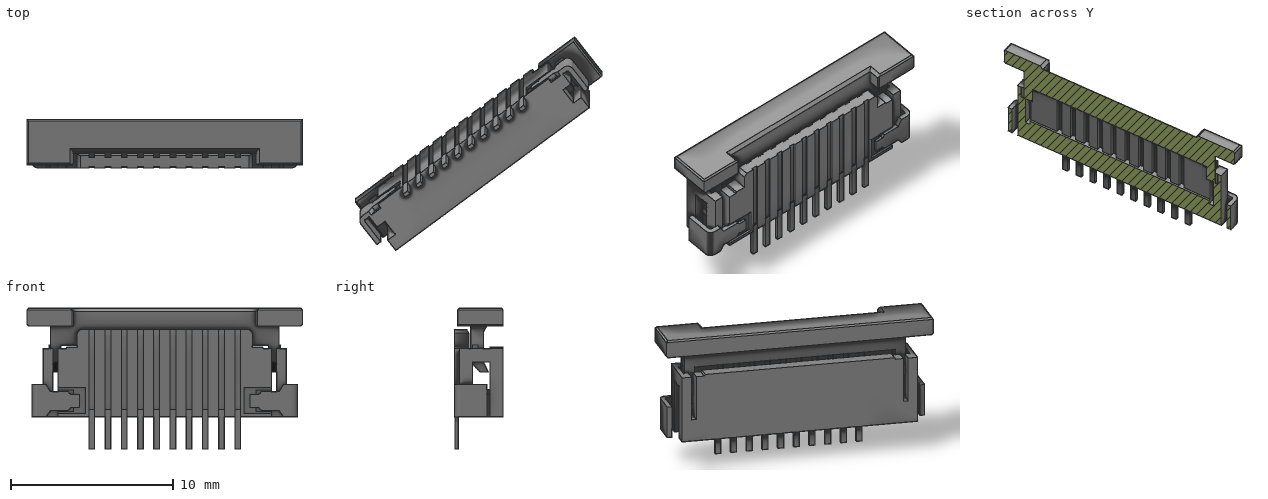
import cadquery as cq


HOUSING_DEPTH = 3.0
BODY_HALF_LENGTH = 6.6
BODY_SHOULDER_Z = 4.2
BODY_TOP_Z = 4.3
RAISED_HALF_LENGTH = 6.1
RAISED_RAMP = 0.07
CAVITY_FRONT_Y = 0.9
CAVITY_BACK_Y = 2.18
CAVITY_FLOOR_Z = 1.68

TONGUE_HALF_LENGTH = 5.4
TONGUE_TOP_Z = 5.38
TONGUE_CORNER = 0.2
TONGUE_BEVEL_DEPTH = 0.14
TONGUE_BEVEL_HEIGHT = 0.25

ARM_INNER_X = 6.9
ARM_OUTER_X = 7.5
ARM_FRONT_Y = 0.3
WINDOW_FRONT_Y = 1.12
WINDOW_TOP_Z = 3.37
BRIDGE_TOP_Z = 1.4
LEG_GROOVE_OUTER_X = 7.22

PIN_COUNT = 10
PIN_PITCH = 1.0
PIN_WIDTH = 0.36
PIN_FRONT_Y = 0.02
PIN_BACK_Y = 0.25
PIN_BOTTOM_Z = -2.0
PIN_TOP_Z = 0.45
FRONT_GROOVE_DEPTH = 0.1
REAR_GROOVE_DEPTH = 0.24

CLIP_OUTER_X = 8.2
CLIP_THICKNESS = ARM_FRONT_Y
CLIP_BEND_RADIUS = 0.4
CLIP_HEIGHT = 2.0
CLIP_DEPTH = 2.0
STRAP_MID_Z = 0.97
STRAP_HALF_HEIGHT = 0.58
STRAP_TIP_HALF_HEIGHT = 0.41
STRAP_TIP_X = 5.27
STRAP_TIP_SHOULDER_X = 5.8
STRAP_SHOULDER_X = 5.96
STRAP_NECK_X = 7.05
STRAP_ROOT_X = 7.33

POCKET_INNER_X = 4.88
POCKET_BOTTOM_Z = 0.2
POCKET_TOP_Z = 1.8
POCKET_DEPTH = 0.15
CHANNEL_INNER_X = 5.63
CHANNEL_BOTTOM_Z = 0.32
CHANNEL_TOP_Z = 1.64
CHANNEL_DEPTH = 0.2

SLIDER_HALF_LENGTH = 8.5
SLIDER_FRONT_Y = 0.2
SLIDER_BOTTOM_Z = 5.6
SLIDER_TOP_Z = 6.7
SLIDER_BEVEL = 0.1
NOTCH_HALF_LENGTH = 5.63
NOTCH_BEVEL = 0.2
BLADE_FRONT_Y = 1.0
BLADE_BACK_Y = 1.8
BLADE_HALF_LENGTH = 7.05
BLADE_BOTTOM_Z = 4.4
GUSSET_DEPTH = 0.2
GUSSET_HEIGHT = 0.35
LEG_INNER_X = 6.4
HOOK_TIP_Z = 2.75
HOOK_ROOT_Z = 3.37
HOOK_FRONT_Y = 1.6
HOOK_BACK_Y = 2.1
NUB_FRONT_Y = 1.12
NUB_BACK_Y = 1.45
NUB_OUTER_X = 7.13
NUB_TOP_Z = 4.42


def block(x_range, y_range, z_range):
    """Box between the given limits."""
    size = [r[1] - r[0] for r in (x_range, y_range, z_range)]
    corner = (x_range[0], y_range[0], z_range[0])
    return cq.Workplane("XY").box(*size, centered=False).translate(corner)


def extrude_along_y(points, y_start, y_end):
    """Prism with an XZ outline."""
    plane = cq.Workplane("XZ", origin=(0, y_start, 0))
    return plane.polyline(points).close().extrude(y_start - y_end)


def extrude_along_x(points, x_start, x_end):
    """Prism with a YZ outline."""
    plane = cq.Workplane("YZ", origin=(x_start, 0, 0))
    return plane.polyline(points).close().extrude(x_end - x_start)


def both_ends(shape):
    """The shape built at the -X end together with its mirror image."""
    return shape.union(shape.mirror("YZ"))


def pin_positions():
    first = -PIN_PITCH * (PIN_COUNT - 1) / 2
    return [first + i * PIN_PITCH for i in range(PIN_COUNT)]


def make_body():
    raised_top = RAISED_HALF_LENGTH - RAISED_RAMP
    outline = [
        (-BODY_HALF_LENGTH, 0),
        (BODY_HALF_LENGTH, 0),
        (BODY_HALF_LENGTH, BODY_SHOULDER_Z),
        (RAISED_HALF_LENGTH, BODY_SHOULDER_Z),
        (raised_top, BODY_TOP_Z),
        (-raised_top, BODY_TOP_Z),
        (-RAISED_HALF_LENGTH, BODY_SHOULDER_Z),
        (-BODY_HALF_LENGTH, BODY_SHOULDER_Z),
    ]
    body = extrude_along_y(outline, 0, HOUSING_DEPTH)
    cavity = block(
        (-BODY_HALF_LENGTH, BODY_HALF_LENGTH),
        (CAVITY_FRONT_Y, CAVITY_BACK_Y),
        (CAVITY_FLOOR_Z, BODY_TOP_Z),
    )
    return body.cut(cavity)


def make_tongue():
    corner_x = TONGUE_HALF_LENGTH - TONGUE_CORNER
    corner_z = TONGUE_TOP_Z - TONGUE_CORNER
    outline = [
        (-TONGUE_HALF_LENGTH, BODY_SHOULDER_Z),
        (TONGUE_HALF_LENGTH, BODY_SHOULDER_Z),
        (TONGUE_HALF_LENGTH, corner_z),
        (corner_x, TONGUE_TOP_Z),
        (-corner_x, TONGUE_TOP_Z),
        (-TONGUE_HALF_LENGTH, corner_z),
    ]
    tongue = extrude_along_y(outline, 0, CAVITY_FRONT_Y)
    bevel = [
        (CAVITY_FRONT_Y, TONGUE_TOP_Z),
        (CAVITY_FRONT_Y - TONGUE_BEVEL_DEPTH, TONGUE_TOP_Z),
        (CAVITY_FRONT_Y, TONGUE_TOP_Z - TONGUE_BEVEL_HEIGHT),
    ]
    return tongue.cut(extrude_along_x(bevel, -TONGUE_HALF_LENGTH, TONGUE_HALF_LENGTH))


def make_arm():
    """Windowed side arm, grooved for the slider leg, and the low bridge joining it to the body."""
    arm = block((-ARM_OUTER_X, -ARM_INNER_X), (ARM_FRONT_Y, HOUSING_DEPTH), (0, BODY_SHOULDER_Z))
    window = block((-ARM_OUTER_X, -ARM_INNER_X), (WINDOW_FRONT_Y, CAVITY_BACK_Y), (0, WINDOW_TOP_Z))
    leg_groove = block(
        (-LEG_GROOVE_OUTER_X, -ARM_INNER_X),
        (BLADE_FRONT_Y, CAVITY_BACK_Y),
        (WINDOW_TOP_Z, BODY_SHOULDER_Z),
    )
    bridge = block((-ARM_INNER_X, -BODY_HALF_LENGTH), (ARM_FRONT_Y, HOUSING_DEPTH), (0, BRIDGE_TOP_Z))
    return arm.cut(window).cut(leg_groove).union(bridge)


def make_strap_pocket():
    """Shallow pocket around the strap tip, with a deeper channel at its outer end."""
    pocket = block(
        (-BODY_HALF_LENGTH, -POCKET_INNER_X),
        (0, POCKET_DEPTH),
        (POCKET_BOTTOM_Z, POCKET_TOP_Z),
    )
    channel = block(
        (-BODY_HALF_LENGTH, -CHANNEL_INNER_X),
        (0, CHANNEL_DEPTH),
        (CHANNEL_BOTTOM_Z, CHANNEL_TOP_Z),
    )
    return pocket.union(channel)


def make_clip():
    """Bent sheet clip: side plate, rounded bend and a waisted strap."""
    outer = block((-CLIP_OUTER_X, -STRAP_TIP_X), (0, CLIP_DEPTH), (0, CLIP_HEIGHT))
    outer = outer.edges("|Z and <X and <Y").fillet(CLIP_BEND_RADIUS)
    inner = block(
        (-CLIP_OUTER_X + CLIP_THICKNESS, -STRAP_TIP_X),
        (CLIP_THICKNESS, CLIP_DEPTH),
        (0, CLIP_HEIGHT),
    )
    inner = inner.edges("|Z and <X and <Y").fillet(CLIP_BEND_RADIUS - CLIP_THICKNESS)
    outline = [
        (-CLIP_OUTER_X, 0),
        (-STRAP_ROOT_X, 0),
        (-STRAP_NECK_X, STRAP_MID_Z - STRAP_HALF_HEIGHT),
        (-STRAP_SHOULDER_X, STRAP_MID_Z - STRAP_HALF_HEIGHT),
        (-STRAP_TIP_SHOULDER_X, STRAP_MID_Z - STRAP_TIP_HALF_HEIGHT),
        (-STRAP_TIP_X, STRAP_MID_Z - STRAP_TIP_HALF_HEIGHT),
        (-STRAP_TIP_X, STRAP_MID_Z + STRAP_TIP_HALF_HEIGHT),
        (-STRAP_TIP_SHOULDER_X, STRAP_MID_Z + STRAP_TIP_HALF_HEIGHT),
        (-STRAP_SHOULDER_X, STRAP_MID_Z + STRAP_HALF_HEIGHT),
        (-STRAP_NECK_X, STRAP_MID_Z + STRAP_HALF_HEIGHT),
        (-STRAP_ROOT_X, CLIP_HEIGHT),
        (-CLIP_OUTER_X, CLIP_HEIGHT),
    ]
    return outer.cut(inner).intersect(extrude_along_y(outline, 0, CLIP_DEPTH))


def make_contact_grooves():
    """Front and rear grooves along the tongue at every contact."""
    grooves = cq.Workplane("XY")
    for x in pin_positions():
        width = (x - PIN_WIDTH / 2, x + PIN_WIDTH / 2)
        front = block(width, (0, FRONT_GROOVE_DEPTH), (0, TONGUE_TOP_Z))
        rear_y = (CAVITY_FRONT_Y - REAR_GROOVE_DEPTH, CAVITY_FRONT_Y)
        rear = block(width, rear_y, (CAVITY_FLOOR_Z, TONGUE_TOP_Z))
        grooves = grooves.add(front).add(rear)
    return grooves.combine()


def make_pins():
    pins = cq.Workplane("XY")
    for x in pin_positions():
        width = (x - PIN_WIDTH / 2, x + PIN_WIDTH / 2)
        pins = pins.add(block(width, (PIN_FRONT_Y, PIN_BACK_Y), (PIN_BOTTOM_Z, PIN_TOP_Z)))
    return pins.combine()


def make_slider_bar():
    """Bevelled finger bar with a bevelled notch in front of the tongue."""
    length = (-SLIDER_HALF_LENGTH, SLIDER_HALF_LENGTH)
    bar = block(length, (SLIDER_FRONT_Y, HOUSING_DEPTH), (SLIDER_BOTTOM_Z, SLIDER_TOP_Z))
    bar = bar.faces(">Z").edges().chamfer(SLIDER_BEVEL)
    bar = bar.edges("|Y and <Z").chamfer(SLIDER_BEVEL)

    notch = block(
        (-NOTCH_HALF_LENGTH, NOTCH_HALF_LENGTH),
        (SLIDER_FRONT_Y, BLADE_FRONT_Y),
        (SLIDER_BOTTOM_Z, SLIDER_TOP_Z),
    )
    depth = BLADE_FRONT_Y - SLIDER_FRONT_Y
    bevel = (
        cq.Workplane("XY", origin=(0, SLIDER_FRONT_Y, SLIDER_TOP_Z - NOTCH_BEVEL))
        .rect(2 * NOTCH_HALF_LENGTH, 2 * depth)
        .workplane(offset=NOTCH_BEVEL)
        .rect(2 * (NOTCH_HALF_LENGTH + NOTCH_BEVEL), 2 * (depth + NOTCH_BEVEL))
        .loft(ruled=True)
    )
    mouth = (
        cq.Workplane("XY", origin=(0, 0, SLIDER_BOTTOM_Z))
        .polyline([
            (-NOTCH_HALF_LENGTH - SLIDER_BEVEL, SLIDER_FRONT_Y),
            (NOTCH_HALF_LENGTH + SLIDER_BEVEL, SLIDER_FRONT_Y),
            (NOTCH_HALF_LENGTH, SLIDER_FRONT_Y + SLIDER_BEVEL),
            (-NOTCH_HALF_LENGTH, SLIDER_FRONT_Y + SLIDER_BEVEL),
        ])
        .close()
        .extrude(SLIDER_TOP_Z - SLIDER_BOTTOM_Z)
    )
    return bar.cut(notch).cut(bevel).cut(mouth)


def make_slider_blade():
    """Blade under the bar, with a gusset along its rear top edge."""
    outline = [
        (BLADE_FRONT_Y, BLADE_BOTTOM_Z),
        (BLADE_BACK_Y, BLADE_BOTTOM_Z),
        (BLADE_BACK_Y, SLIDER_BOTTOM_Z - GUSSET_HEIGHT),
        (BLADE_BACK_Y + GUSSET_DEPTH, SLIDER_BOTTOM_Z),
        (BLADE_FRONT_Y, SLIDER_BOTTOM_Z),
    ]
    return extrude_along_x(outline, -BLADE_HALF_LENGTH, BLADE_HALF_LENGTH)


def make_slider_leg():
    """Hooked leg running down through the arm, with its small side nub."""
    outline = [
        (BLADE_FRONT_Y, BLADE_BOTTOM_Z),
        (BLADE_FRONT_Y, HOOK_ROOT_Z),
        (HOOK_FRONT_Y, HOOK_TIP_Z),
        (HOOK_BACK_Y, HOOK_TIP_Z),
        (BLADE_BACK_Y, HOOK_ROOT_Z),
        (BLADE_BACK_Y, BLADE_BOTTOM_Z),
    ]
    leg = extrude_along_x(outline, -BLADE_HALF_LENGTH, -LEG_INNER_X)
    nub = block(
        (-NUB_OUTER_X, -BLADE_HALF_LENGTH),
        (NUB_FRONT_Y, NUB_BACK_Y),
        (BODY_SHOULDER_Z, NUB_TOP_Z),
    )
    return leg.union(nub)


housing = make_body().union(make_tongue()).union(both_ends(make_arm()))
housing = housing.cut(both_ends(make_strap_pocket())).cut(make_contact_grooves())
slider = make_slider_bar().union(make_slider_blade()).union(both_ends(make_slider_leg()))
result = housing.union(both_ends(make_clip())).union(make_pins()).union(slider)